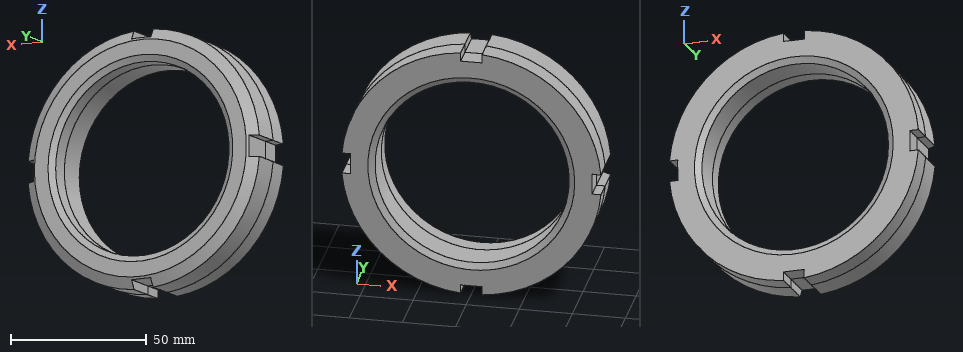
import cadquery as cq
import math

overall_span = 97.7
total_width = 21.0
rim_joint_width = 8.0
bore_joint_width = 13.0

slot_count = 4
slot_width = 8.0
slot_floor_radius = 45.5

outer_radius = math.hypot(overall_span / 2, slot_width / 2)

bore_radius = 36.5
bore_mouth_radius = 39.0
bore_chamfer_angle = 30.0
bore_chamfer_depth = (bore_mouth_radius - bore_radius) * math.tan(math.radians(bore_chamfer_angle))

spigot_radius = (bore_radius + slot_floor_radius) / 2

back_rim_radius = 44.7
back_chamfer_angle = 30.0
back_chamfer_depth = (outer_radius - back_rim_radius) * math.tan(math.radians(back_chamfer_angle))

front_y = -total_width / 2
back_y = front_y + total_width
rim_joint_y = front_y + rim_joint_width
bore_joint_y = front_y + bore_joint_width


def revolve_about_y(profile):
    """Turn a closed (radius, y) profile into a ring around the Y axis."""
    return cq.Workplane("XY").polyline(profile).close().revolve(360, (0, 0, 0), (0, 1, 0))


def cut_slots(ring):
    """Cut the evenly spaced wrench slots across the full width of a ring."""
    slot_depth = outer_radius - slot_floor_radius
    slot = cq.Workplane("XY").box(
        2 * slot_depth, total_width, slot_width, centered=(False, True, True)
    ).translate((slot_floor_radius, 0, 0))
    for i in range(slot_count):
        ring = ring.cut(slot.rotate((0, 0, 0), (0, 1, 0), i * 360 / slot_count))
    return ring


def make_front_ring():
    """Front ring with a spigot at the back and a chamfered bore mouth."""
    profile = [
        (bore_mouth_radius, front_y),
        (outer_radius, front_y),
        (outer_radius, rim_joint_y),
        (spigot_radius, rim_joint_y),
        (spigot_radius, bore_joint_y),
        (bore_radius, bore_joint_y),
        (bore_radius, front_y + bore_chamfer_depth),
    ]
    return cut_slots(revolve_about_y(profile))


def make_back_ring():
    """Back ring with a spigot recess, a chamfered outer rim and a chamfered bore mouth."""
    profile = [
        (bore_radius, bore_joint_y),
        (spigot_radius, bore_joint_y),
        (spigot_radius, rim_joint_y),
        (outer_radius, rim_joint_y),
        (outer_radius, back_y - back_chamfer_depth),
        (back_rim_radius, back_y),
        (bore_mouth_radius, back_y),
        (bore_radius, back_y - bore_chamfer_depth),
    ]
    return cut_slots(revolve_about_y(profile))


front_ring = make_front_ring()
back_ring = make_back_ring()
result = cq.Compound.makeCompound([front_ring.val(), back_ring.val()])